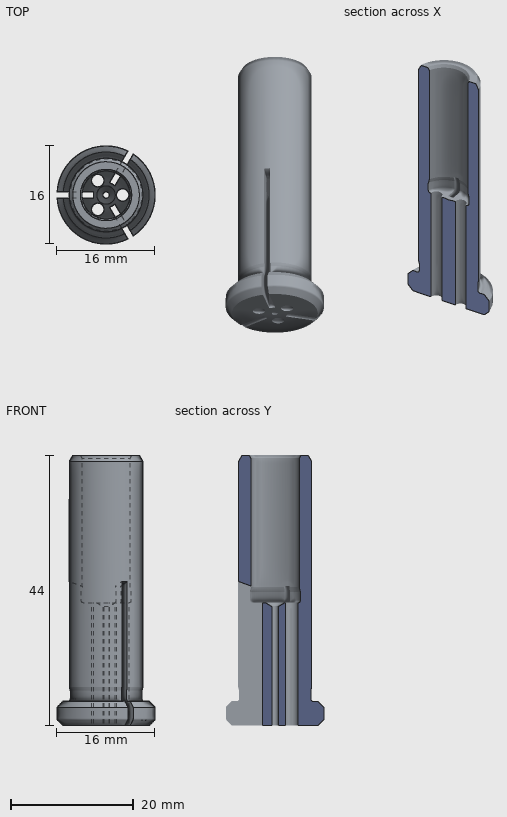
import cadquery as cq
import math

total_height = 44.0
tube_radius = 12.0 / 2
flange_radius = 16.0 / 2
flange_height = 4.0
flange_chamfer = 1.0
flange_edge_fillet = 0.4

mouth_chamfer_angle = math.radians(30)
outer_mouth_chamfer_height = 1.0
inner_mouth_chamfer_height = 0.5

bore_radius = 7.8 / 2
bore_floor = 20.0
bore_relief_depth = 0.2
bore_relief_length = 2.5

neck_depth = 0.15
neck_length = 2.25
face_relief_radius = 6.63
relief_fillet = 0.4
relief_angle = math.radians(15)
face_relief_angle = math.radians(8)

slot_count = 3
first_slot_angle = 180.0
slot_width = 1.0
slot_inner_radius = 2.05
slot_top = 23.45
slot_top_slope = math.radians(20)

center_hole_diameter = 1.0
countersink_diameter = 3.0
countersink_angle = math.radians(118)
core_hole_count = 3
core_hole_diameter = 2.0
core_hole_circle_radius = 2.7
cut_margin = 1.0


def make_outer_body():
    """Revolve the outside of tube, neck and flange as one solid."""
    neck_radius = tube_radius - neck_depth
    neck_top = flange_height + neck_length
    neck_cone_height = neck_depth / math.tan(relief_angle)
    mouth_radius = tube_radius - outer_mouth_chamfer_height * math.tan(mouth_chamfer_angle)
    foot_radius = flange_radius - flange_chamfer

    fillet_end_radius = neck_radius + relief_fillet * (1 + math.sin(face_relief_angle))
    face_relief_depth = (face_relief_radius - fillet_end_radius) * math.tan(face_relief_angle)
    fillet_end_z = flange_height - face_relief_depth
    fillet_center_radius = neck_radius + relief_fillet
    fillet_center_z = fillet_end_z + relief_fillet * math.cos(face_relief_angle)
    middle_angle = (math.pi / 2 - face_relief_angle) / 2
    fillet_middle = (
        fillet_center_radius - relief_fillet * math.cos(middle_angle),
        fillet_center_z - relief_fillet * math.sin(middle_angle),
    )

    chamfer_angle = math.radians(45)
    tangent_length = flange_edge_fillet * math.tan(chamfer_angle / 2)
    edge_start_offset = tangent_length * math.cos(chamfer_angle)
    edge_top_z = flange_chamfer + tangent_length
    edge_middle = (
        flange_radius - flange_edge_fillet * (1 - math.cos(chamfer_angle / 2)),
        edge_top_z - flange_edge_fillet * math.sin(chamfer_angle / 2),
    )

    profile = (
        cq.Workplane("XZ")
        .moveTo(0, 0)
        .lineTo(foot_radius, 0)
        .lineTo(flange_radius - edge_start_offset, flange_chamfer - edge_start_offset)
        .threePointArc(edge_middle, (flange_radius, edge_top_z))
        .lineTo(flange_radius, flange_height - flange_chamfer)
        .lineTo(flange_radius - flange_chamfer, flange_height)
        .lineTo(face_relief_radius, flange_height)
        .lineTo(fillet_end_radius, fillet_end_z)
        .threePointArc(fillet_middle, (neck_radius, fillet_center_z))
        .lineTo(neck_radius, neck_top - neck_cone_height)
        .lineTo(tube_radius, neck_top)
        .lineTo(tube_radius, total_height - outer_mouth_chamfer_height)
        .lineTo(mouth_radius, total_height)
        .lineTo(0, total_height)
        .close()
    )
    return profile.revolve(360, (0, 0, 0), (0, 1, 0))


def make_bore():
    """Revolve the bore, its relief groove, floor fillet and mouth chamfer."""
    relief_radius = bore_radius + bore_relief_depth
    relief_top = bore_floor + bore_relief_length
    relief_cone_height = bore_relief_depth / math.tan(relief_angle)
    mouth_radius = bore_radius + inner_mouth_chamfer_height * math.tan(mouth_chamfer_angle)
    fillet_inset = relief_fillet * (1 - math.cos(math.radians(45)))

    profile = (
        cq.Workplane("XZ")
        .moveTo(0, bore_floor)
        .lineTo(relief_radius - relief_fillet, bore_floor)
        .threePointArc(
            (relief_radius - fillet_inset, bore_floor + fillet_inset),
            (relief_radius, bore_floor + relief_fillet),
        )
        .lineTo(relief_radius, relief_top - relief_cone_height)
        .lineTo(bore_radius, relief_top)
        .lineTo(bore_radius, total_height - inner_mouth_chamfer_height)
        .lineTo(mouth_radius, total_height)
        .lineTo(0, total_height)
        .close()
    )
    return profile.revolve(360, (0, 0, 0), (0, 1, 0))


def make_slot(angle):
    """Radial slot whose upper end slopes down towards the axis."""
    outer_limit = flange_radius + cut_margin
    slope = math.tan(slot_top_slope)
    outer_top = slot_top + (outer_limit - tube_radius) * slope
    inner_top = slot_top - (tube_radius - slot_inner_radius) * slope
    slot = (
        cq.Workplane("XZ")
        .moveTo(slot_inner_radius, -cut_margin)
        .lineTo(outer_limit, -cut_margin)
        .lineTo(outer_limit, outer_top)
        .lineTo(slot_inner_radius, inner_top)
        .close()
        .extrude(slot_width / 2, both=True)
    )
    return slot.rotate((0, 0, 0), (0, 0, 1), angle)


def make_core_holes():
    """Ring of round holes through the core, midway between the slots."""
    spacing = 360.0 / core_hole_count
    first_hole_angle = first_slot_angle + spacing / 2
    return (
        cq.Workplane("XY")
        .polarArray(core_hole_circle_radius, first_hole_angle, 360, core_hole_count)
        .circle(core_hole_diameter / 2)
        .extrude(bore_floor)
    )


def make_center_hole():
    """Small axial hole through the core, countersunk at the bore floor."""
    hole_radius = center_hole_diameter / 2
    sink_radius = countersink_diameter / 2
    sink_depth = (sink_radius - hole_radius) / math.tan(countersink_angle / 2)
    profile = (
        cq.Workplane("XZ")
        .moveTo(0, 0)
        .lineTo(hole_radius, 0)
        .lineTo(hole_radius, bore_floor - sink_depth)
        .lineTo(sink_radius, bore_floor)
        .lineTo(0, bore_floor)
        .close()
    )
    return profile.revolve(360, (0, 0, 0), (0, 1, 0))


result = make_outer_body().cut(make_bore())
result = result.cut(make_center_hole()).cut(make_core_holes())
for slot_index in range(slot_count):
    result = result.cut(make_slot(first_slot_angle + slot_index * 360.0 / slot_count))